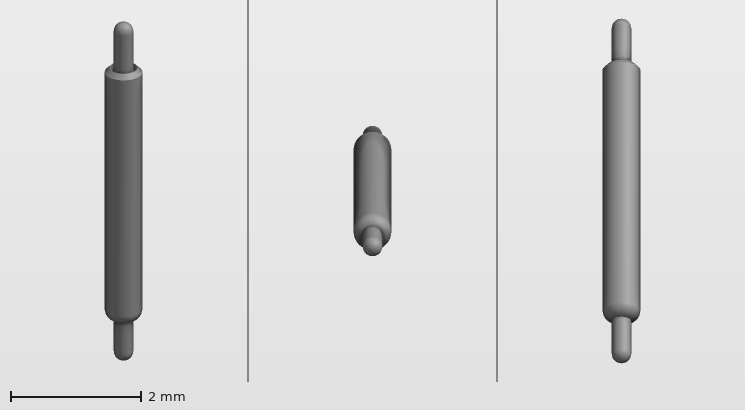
import cadquery as cq
import math

total_length = 5.8
barrel_radius = 0.29
pin_radius = 0.15

lower_pin_length = 0.7
upper_pin_length = 0.78
barrel_bottom = lower_pin_length
barrel_top = total_length - upper_pin_length

top_chamfer = 0.075
top_rim_radius = barrel_radius - top_chamfer
pin_flare = 0.02
groove_radius = pin_radius + pin_flare
countersink_depth = top_rim_radius - groove_radius
bottom_round = 0.175

DIAGONAL = math.sqrt(0.5)


def make_pin():
    """Round pin along Z with a hemispherical tip at each end."""
    tip_offset = pin_radius * DIAGONAL
    lower_tip_center = pin_radius
    upper_tip_center = total_length - pin_radius
    return (
        cq.Workplane("XZ")
        .moveTo(0, 0)
        .threePointArc((tip_offset, lower_tip_center - tip_offset), (pin_radius, lower_tip_center))
        .lineTo(pin_radius, upper_tip_center)
        .threePointArc((tip_offset, upper_tip_center + tip_offset), (0, total_length))
        .close()
        .revolve(360, (0, 0), (0, 1))
    )


def make_barrel():
    """Barrel with a rounded bottom and a chamfered top rim.

    Inside the rim a 45 degree countersink meets a small 45 degree flare at the foot of the pin,
    leaving a V-groove around it.
    """
    round_center_radius = barrel_radius - bottom_round
    round_center_z = barrel_bottom + bottom_round
    groove_z = barrel_top - countersink_depth
    round_offset = bottom_round * DIAGONAL
    return (
        cq.Workplane("XZ")
        .moveTo(0, barrel_bottom)
        .lineTo(round_center_radius, barrel_bottom)
        .threePointArc(
            (round_center_radius + round_offset, round_center_z - round_offset),
            (barrel_radius, round_center_z),
        )
        .lineTo(barrel_radius, barrel_top - top_chamfer)
        .lineTo(top_rim_radius, barrel_top)
        .lineTo(groove_radius, groove_z)
        .lineTo(pin_radius, groove_z + pin_flare)
        .lineTo(0, groove_z + pin_flare)
        .close()
        .revolve(360, (0, 0), (0, 1))
    )


result = make_barrel().union(make_pin())